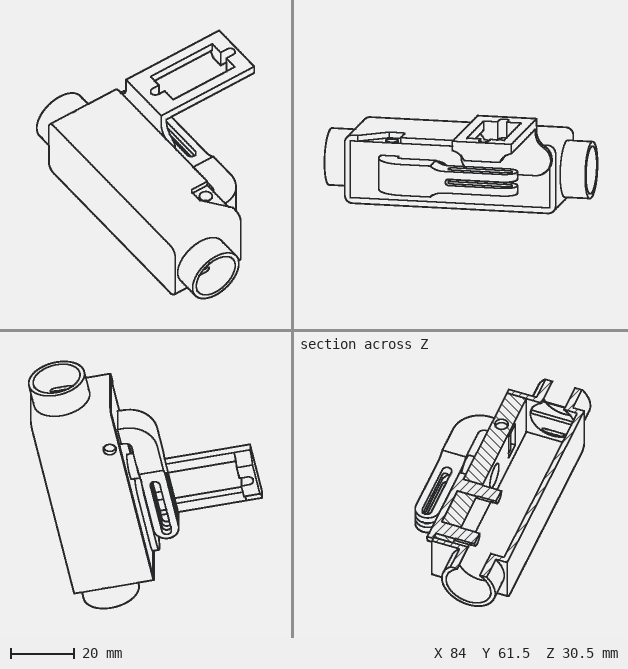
import cadquery as cq
import math


HOUSING_LENGTH = 67.95
HOUSING_DEPTH = 25.45
HOUSING_HEIGHT = 22.0
HOUSING_ROUNDING = 2.5
WALL = 1.85
OVERALL_LENGTH = 84.0
TUBE_DIAMETER = 18.0
BORE_DIAMETER = 15.0
BORE_Y = 10.0
BAR_DIAMETER = 1.0
BAR_SPACING = 7.0
BAR_END_OVERLAP = 0.8

CAVITY_LENGTH = HOUSING_LENGTH - 2 * WALL
CAVITY_HEIGHT = HOUSING_HEIGHT - 2 * WALL
BAR_X = (HOUSING_LENGTH - WALL) / 2

NOTCH_LEFT = 16.0
NOTCH_DEPTH = 6.6
NOTCH_ARC_RUN = 1.4
NOTCH_ARC_RISE = 0.5
NOTCH_FLOOR_RIGHT = 21.2
NOTCH_RIGHT = 29.7
NOTCH_FRONT = HOUSING_DEPTH - NOTCH_DEPTH

COVER_FRONT = NOTCH_FRONT

LEVER_HEIGHT = 10.0
LEVER_DEPTH = 8.0
LEVER_GAP = 2.9
LEVER_NOSE_X = -23.2
LEVER_BEND_RADIUS = 9.0
LEG_LEFT = 16.55
LEG_RIGHT = 22.35
LEG_FILLET = 2.0
HANDLE_HEIGHT = 7.0
HANDLE_STEP_LEFT = -0.2
HANDLE_STEP_LENGTH = 4.1
SLOT_WIDTH = 3.0
SLOT_LEFT = -21.6
SLOT_RIGHT = -0.9
SLIT_HEIGHT = 2.0
PIVOT_DIAMETER = 4.0
PIVOT_Y = 22.35

LEVER_FRONT = HOUSING_DEPTH + LEVER_GAP
LEVER_BACK = LEVER_FRONT + LEVER_DEPTH
LEVER_MIDDLE = LEVER_FRONT + LEVER_DEPTH / 2
LEG_WIDTH = LEG_RIGHT - LEG_LEFT
PIVOT_X = (LEG_LEFT + LEG_RIGHT) / 2

BUTTON_DIAMETER = 8.0
BUTTON_X = 3.95

BRACKET_X = -18.4
BRACKET_THICKNESS = 2.0
FRAME_WIDTH = 19.0
FRAME_BACK = 61.5
FRAME_TOP = 19.5
FRAME_THICKNESS = 3.0
WINDOW_WIDTH = 12.1
WINDOW_FRONT = 32.5
WINDOW_BACK = 56.4
KEYWAY_WIDTH = 3.0
KEYWAY_MARGIN = 1.0
LOBE_RADIUS = 4.95
LOBE_Z = 6.5
NECK_ARC_RADIUS = 5.5
FOOT_DEPTH = 3.0
FOOT_HALF_WIDTH = 5.7
FOOT_ARC_RADIUS = 5.5
PEG_DIAMETER = 4.95
PEG_TIP_DIAMETER = 4.8
PEG_SHOULDER_Y = 13.9
PEG_END_Y = 12.4

NECK_HALF_WIDTH = FRAME_WIDTH / 2
BRACKET_BACK = HOUSING_DEPTH + BRACKET_THICKNESS
PEG_OFFSETS = (-NECK_HALF_WIDTH, NECK_HALF_WIDTH)


def box(x_range, y_range, z_range):
    """Axis-aligned box given by its limits along X, Y and Z."""
    return cq.Workplane("XY").box(
        x_range[1] - x_range[0], y_range[1] - y_range[0], z_range[1] - z_range[0], centered=False
    ).translate((x_range[0], y_range[0], z_range[0]))


def rod_along_y(diameter, x, z, y_range):
    """Round rod parallel to Y."""
    length = y_range[1] - y_range[0]
    start = cq.Vector(x, y_range[0], z)
    return cq.Workplane(cq.Solid.makeCylinder(diameter / 2, length, start, cq.Vector(0, 1, 0)))


def rod_along_x(diameter, x_range):
    """Round rod on the axis of the tubes."""
    start = cq.Vector(x_range[0], BORE_Y, 0)
    length = x_range[1] - x_range[0]
    return cq.Workplane(cq.Solid.makeCylinder(diameter / 2, length, start, cq.Vector(1, 0, 0)))


def pivot_hole():
    """Cutter for the vertical pivot hole, longer than the housing is high."""
    return (
        cq.Workplane("XY")
        .center(PIVOT_X, PIVOT_Y)
        .circle(PIVOT_DIAMETER / 2)
        .extrude(HOUSING_HEIGHT, both=True)
    )


def roof_notch():
    """Cutter for the slanted notch that goes through the roof of the housing."""
    arc_start_y = NOTCH_FRONT + NOTCH_ARC_RISE
    arc_radius = (NOTCH_ARC_RUN**2 + NOTCH_ARC_RISE**2) / (2 * NOTCH_ARC_RISE)
    return (
        cq.Workplane("XY", origin=(0, 0, CAVITY_HEIGHT / 2))
        .moveTo(NOTCH_LEFT, HOUSING_DEPTH)
        .lineTo(NOTCH_LEFT, arc_start_y)
        .radiusArc((NOTCH_LEFT + NOTCH_ARC_RUN, NOTCH_FRONT), -arc_radius)
        .lineTo(NOTCH_FLOOR_RIGHT, NOTCH_FRONT)
        .lineTo(NOTCH_RIGHT, HOUSING_DEPTH)
        .close()
        .extrude(WALL)
    )


def make_housing():
    body = (
        cq.Workplane("XZ")
        .rect(HOUSING_LENGTH, HOUSING_HEIGHT)
        .extrude(-HOUSING_DEPTH)
        .edges("|Y")
        .fillet(HOUSING_ROUNDING)
    )
    tube_span = (-OVERALL_LENGTH / 2, OVERALL_LENGTH / 2)
    cavity = box(
        (-CAVITY_LENGTH / 2, CAVITY_LENGTH / 2),
        (WALL, HOUSING_DEPTH),
        (-CAVITY_HEIGHT / 2, CAVITY_HEIGHT / 2),
    )
    body = body.union(rod_along_x(TUBE_DIAMETER, tube_span)).cut(cavity)
    body = body.cut(rod_along_x(BORE_DIAMETER, tube_span))
    body = body.cut(roof_notch()).cut(pivot_hole())

    bar_reach = BORE_DIAMETER / 2 + BAR_END_OVERLAP
    for z in (-BAR_SPACING, 0, BAR_SPACING):
        bar = rod_along_y(BAR_DIAMETER, BAR_X, z, (BORE_Y - bar_reach, BORE_Y + bar_reach))
        body = body.union(bar)
    return body


def make_cover():
    block = box(
        (-CAVITY_LENGTH / 2, CAVITY_LENGTH / 2),
        (COVER_FRONT, HOUSING_DEPTH),
        (-CAVITY_HEIGHT / 2, CAVITY_HEIGHT / 2),
    )
    leg_slot = box(
        (LEG_LEFT, LEG_RIGHT),
        (COVER_FRONT, HOUSING_DEPTH),
        (-LEVER_HEIGHT / 2, LEVER_HEIGHT / 2),
    )
    block = block.cut(leg_slot).cut(pivot_hole())
    block = block.cut(rod_along_y(BUTTON_DIAMETER, BUTTON_X, 0, (COVER_FRONT, HOUSING_DEPTH)))
    for offset in PEG_OFFSETS:
        peg_hole = rod_along_y(PEG_DIAMETER, BRACKET_X + offset, LOBE_Z, (COVER_FRONT, HOUSING_DEPTH))
        block = block.cut(peg_hole)
    return block


def lever_outline():
    """Lever at full height: round nose, straight handle, quarter bend and round-ended leg."""
    nose_radius = LEVER_DEPTH / 2
    diagonal = LEVER_BEND_RADIUS * math.sqrt(0.5)
    bend_x = LEG_RIGHT - LEVER_BEND_RADIUS
    bend_y = LEVER_BACK - LEVER_BEND_RADIUS
    return (
        cq.Workplane("XY")
        .moveTo(LEVER_NOSE_X + nose_radius, LEVER_BACK)
        .lineTo(bend_x, LEVER_BACK)
        .threePointArc((bend_x + diagonal, bend_y + diagonal), (LEG_RIGHT, bend_y))
        .lineTo(LEG_RIGHT, PIVOT_Y)
        .threePointArc((PIVOT_X, PIVOT_Y - LEG_WIDTH / 2), (LEG_LEFT, PIVOT_Y))
        .lineTo(LEG_LEFT, LEVER_FRONT - LEG_FILLET)
        .radiusArc((LEG_LEFT - LEG_FILLET, LEVER_FRONT), -LEG_FILLET)
        .lineTo(LEVER_NOSE_X + nose_radius, LEVER_FRONT)
        .threePointArc((LEVER_NOSE_X, LEVER_MIDDLE), (LEVER_NOSE_X + nose_radius, LEVER_BACK))
        .close()
        .extrude(LEVER_HEIGHT / 2, both=True)
    )


def handle_relief():
    """Cutter that thins the top of the handle and rises to full height in a concave arc."""
    rise = (LEVER_HEIGHT - HANDLE_HEIGHT) / 2
    arc_radius = (HANDLE_STEP_LENGTH**2 + rise**2) / (2 * rise)
    return (
        cq.Workplane("XZ", origin=(0, LEVER_FRONT, 0))
        .moveTo(LEVER_NOSE_X, LEVER_HEIGHT / 2)
        .lineTo(LEVER_NOSE_X, HANDLE_HEIGHT / 2)
        .lineTo(HANDLE_STEP_LEFT, HANDLE_HEIGHT / 2)
        .radiusArc((HANDLE_STEP_LEFT + HANDLE_STEP_LENGTH, LEVER_HEIGHT / 2), -arc_radius)
        .close()
        .extrude(-LEVER_DEPTH)
    )


def handle_slot():
    """Cutter for the vertical round-ended slot along the handle."""
    return (
        cq.Workplane("XY")
        .center((SLOT_LEFT + SLOT_RIGHT) / 2, LEVER_MIDDLE)
        .slot2D(SLOT_RIGHT - SLOT_LEFT, SLOT_WIDTH)
        .extrude(LEVER_HEIGHT, both=True)
    )


def handle_slit():
    """Cutter for the slit that forks the handle from its nose to the end of the slot."""
    radius = SLIT_HEIGHT / 2
    straight = box((LEVER_NOSE_X, SLOT_RIGHT - radius), (LEVER_FRONT, LEVER_BACK), (-radius, radius))
    return straight.union(rod_along_y(SLIT_HEIGHT, SLOT_RIGHT - radius, 0, (LEVER_FRONT, LEVER_BACK)))


def make_lever():
    relief = handle_relief()
    body = lever_outline().cut(relief).cut(relief.mirror("XY"))
    return body.cut(handle_slot()).cut(handle_slit()).cut(pivot_hole())


def make_button():
    return rod_along_y(BUTTON_DIAMETER, BUTTON_X, 0, (COVER_FRONT, LEVER_FRONT))


def bracket_plate():
    """Upright plate: a neck that flares in concave arcs into a round-ended base."""
    arc_height = math.sqrt((NECK_ARC_RADIUS + LOBE_RADIUS) ** 2 - NECK_ARC_RADIUS**2)
    lobe_share = LOBE_RADIUS / (NECK_ARC_RADIUS + LOBE_RADIUS)
    touch_x = NECK_HALF_WIDTH + NECK_ARC_RADIUS * lobe_share
    touch_z = LOBE_Z + arc_height * lobe_share
    neck_end_z = LOBE_Z + arc_height
    base_z = LOBE_Z - LOBE_RADIUS
    lobe_x = NECK_HALF_WIDTH + LOBE_RADIUS
    return (
        cq.Workplane("XZ", origin=(BRACKET_X, HOUSING_DEPTH, 0))
        .moveTo(-NECK_HALF_WIDTH, FRAME_TOP)
        .lineTo(NECK_HALF_WIDTH, FRAME_TOP)
        .lineTo(NECK_HALF_WIDTH, neck_end_z)
        .radiusArc((touch_x, touch_z), -NECK_ARC_RADIUS)
        .threePointArc((lobe_x, LOBE_Z), (NECK_HALF_WIDTH, base_z))
        .lineTo(-NECK_HALF_WIDTH, base_z)
        .threePointArc((-lobe_x, LOBE_Z), (-touch_x, touch_z))
        .radiusArc((-NECK_HALF_WIDTH, neck_end_z), -NECK_ARC_RADIUS)
        .close()
        .extrude(-BRACKET_THICKNESS)
    )


def frame_foot(y_range):
    """Foot below one end of the frame, with concave sides."""
    top = FRAME_TOP - FRAME_THICKNESS
    bottom = top - FOOT_DEPTH
    return (
        cq.Workplane("XZ", origin=(BRACKET_X, y_range[0], 0))
        .moveTo(-NECK_HALF_WIDTH, top)
        .lineTo(NECK_HALF_WIDTH, top)
        .radiusArc((FOOT_HALF_WIDTH, bottom), -FOOT_ARC_RADIUS)
        .lineTo(-FOOT_HALF_WIDTH, bottom)
        .radiusArc((-NECK_HALF_WIDTH, top), -FOOT_ARC_RADIUS)
        .close()
        .extrude(y_range[0] - y_range[1])
    )


def frame_opening():
    """Cutter for the rectangular window and the round-ended keyway crossing it."""
    window_middle = (WINDOW_FRONT + WINDOW_BACK) / 2
    keyway_front = BRACKET_BACK + KEYWAY_MARGIN
    keyway_back = FRAME_BACK - KEYWAY_MARGIN
    opening_depth = FRAME_THICKNESS + FOOT_DEPTH
    start = cq.Workplane("XY", origin=(BRACKET_X, 0, FRAME_TOP))
    window = (
        start.center(0, window_middle)
        .rect(WINDOW_WIDTH, WINDOW_BACK - WINDOW_FRONT)
        .extrude(-opening_depth)
    )
    keyway = (
        start.center(0, (keyway_front + keyway_back) / 2)
        .slot2D(keyway_back - keyway_front, KEYWAY_WIDTH, 90)
        .extrude(-opening_depth)
    )
    return window.union(keyway)


def make_bracket():
    frame = box(
        (BRACKET_X - NECK_HALF_WIDTH, BRACKET_X + NECK_HALF_WIDTH),
        (HOUSING_DEPTH, FRAME_BACK),
        (FRAME_TOP - FRAME_THICKNESS, FRAME_TOP),
    )
    body = bracket_plate().union(frame)
    for foot_range in ((BRACKET_BACK, WINDOW_FRONT), (WINDOW_BACK, FRAME_BACK)):
        body = body.union(frame_foot(foot_range))
    body = body.cut(frame_opening())

    for offset in PEG_OFFSETS:
        peg_x = BRACKET_X + offset
        body = body.union(rod_along_y(PEG_DIAMETER, peg_x, LOBE_Z, (PEG_SHOULDER_Y, HOUSING_DEPTH)))
        body = body.union(rod_along_y(PEG_TIP_DIAMETER, peg_x, LOBE_Z, (PEG_END_Y, PEG_SHOULDER_Y)))
    return body


housing = make_housing()
cover = make_cover()
lever = make_lever()
button = make_button()
bracket = make_bracket()

result = cq.Compound.makeCompound([housing.val(), cover.val(), lever.val(), button.val(), bracket.val()])